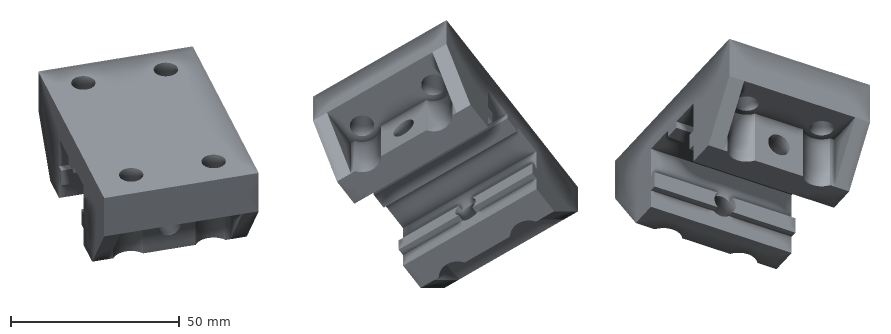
import cadquery as cq

length = 69.85
width = 47.65
height = 30.95

leg_height = 17.25
leg_outer_x = 22.2
end_rib_width = 5.0

channel_width = 25.85
channel_height = 21.3
rail_width = 5.3
rail_depth = 2.3

hole_diameter = 7.2
mount_spacing_x = 50.7
mount_spacing_y = 25.4
clearance_radius = 5.6
cross_hole_z = leg_height / 2


def make_body():
    """Plate with tapered sides below, extruded along Y and centred on it."""
    outline = [
        (-leg_outer_x, 0),
        (leg_outer_x, 0),
        (length / 2, leg_height),
        (length / 2, height),
        (-length / 2, height),
        (-length / 2, leg_height),
    ]
    return cq.Workplane("XZ").polyline(outline).close().extrude(width / 2, both=True)


def make_side_pockets():
    """Space outside the legs between the end ribs, on both sides."""
    pocket_depth = length / 2 - leg_outer_x
    pocket_center_x = (length / 2 + leg_outer_x) / 2
    return (
        cq.Workplane("XY")
        .pushPoints([(-pocket_center_x, 0), (pocket_center_x, 0)])
        .rect(pocket_depth, width - 2 * end_rib_width)
        .extrude(leg_height)
    )


def make_channel():
    """Channel cutter with the rail sections left out of it."""
    channel = cq.Workplane("XY").box(
        channel_width, width, channel_height, centered=(True, True, False)
    )
    top_rail = cq.Workplane("XY").box(rail_width, width, rail_depth)
    channel = channel.cut(top_rail.translate((0, 0, channel_height - rail_depth / 2)))
    side_rail = cq.Workplane("XY").box(rail_depth, width, rail_width)
    rail_center_x = (channel_width - rail_depth) / 2
    for side in (-1, 1):
        channel = channel.cut(side_rail.translate((side * rail_center_x, 0, cross_hole_z)))
    return channel


def make_mount_cylinders(radius, depth):
    """Upright cylinders of the given depth on the four mounting axes."""
    return (
        cq.Workplane("XY")
        .rarray(mount_spacing_x, mount_spacing_y, 2, 2)
        .circle(radius)
        .extrude(depth)
    )


def make_cross_hole():
    """Hole along X through both legs."""
    return (
        cq.Workplane("YZ")
        .center(0, cross_hole_z)
        .circle(hole_diameter / 2)
        .extrude(length / 2, both=True)
    )


result = (
    make_body()
    .cut(make_side_pockets())
    .cut(make_channel())
    .cut(make_mount_cylinders(clearance_radius, leg_height))
    .cut(make_mount_cylinders(hole_diameter / 2, height))
    .cut(make_cross_hole())
)